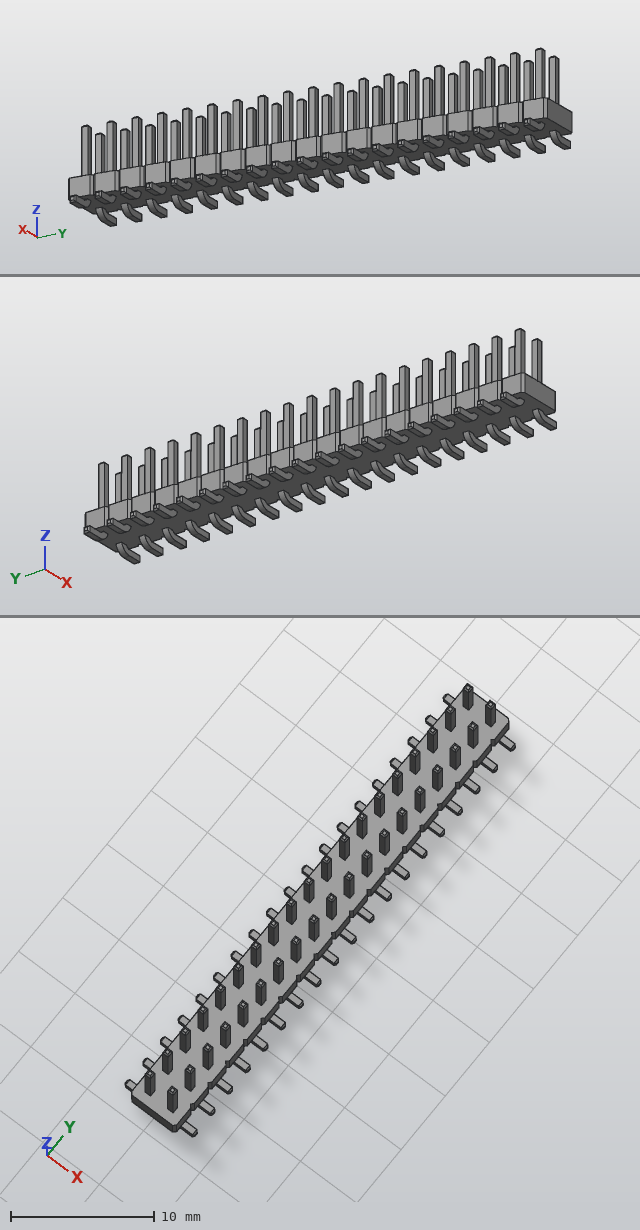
import cadquery as cq

pin_count = 19
pitch = 2.0

body_width = 4.0
body_height = 1.5
body_length = pin_count * pitch
standoff = 0.7
corner_chamfer = 0.2

pin_size = 0.5
pin_protrusion = 4.0
foot_span = 6.2
bend_radius = 0.5
bend_angle = 90
tip_chamfer = pin_size / 4
tip_size = pin_size - 2 * tip_chamfer

pin_top = standoff + body_height + pin_protrusion
pin_x = pitch / 2
foot_z = pin_size / 2
bend_centreline_radius = bend_radius + pin_size / 2
bend_top_z = foot_z + bend_centreline_radius
bend_end_x = pin_x + bend_centreline_radius


def make_body():
    """Extrude a row of cells, each with its four vertical corners chamfered."""
    half_width = body_width / 2
    shoulder = half_width - corner_chamfer
    right_side = []
    for i in range(pin_count):
        start = i * pitch - body_length / 2
        end = start + pitch
        right_side += [
            (shoulder, start),
            (half_width, start + corner_chamfer),
            (half_width, end - corner_chamfer),
        ]
    right_side.append((shoulder, body_length / 2))
    left_side = [(-x, y) for x, y in reversed(right_side)]
    return (
        cq.Workplane("XY", origin=(0, 0, standoff))
        .polyline(right_side + left_side)
        .close()
        .extrude(body_height)
    )


def make_tip(plane):
    """Chamfered pin end that starts on the given plane and follows its normal."""
    return (
        cq.Workplane(plane)
        .rect(pin_size, pin_size)
        .workplane(offset=tip_chamfer)
        .rect(tip_size, tip_size)
        .loft(ruled=True)
    )


def make_pin():
    """One pin of the +X row at Y = 0: straight post, quarter bend, outward foot."""
    post_top = pin_top - tip_chamfer
    foot_end = foot_span / 2 - tip_chamfer
    post = (
        cq.Workplane("XY", origin=(pin_x, 0, bend_top_z))
        .rect(pin_size, pin_size)
        .extrude(post_top - bend_top_z)
    )
    bend = (
        cq.Workplane("XY", origin=(pin_x, 0, bend_top_z))
        .rect(pin_size, pin_size)
        .revolve(bend_angle, (bend_centreline_radius, 0), (bend_centreline_radius, -1))
    )
    foot = (
        cq.Workplane("YZ", origin=(bend_end_x, 0, foot_z))
        .rect(pin_size, pin_size)
        .extrude(foot_end - bend_end_x)
    )
    top_tip = make_tip(cq.Plane.XY(origin=(pin_x, 0, post_top)))
    foot_tip = make_tip(cq.Plane.YZ(origin=(foot_end, 0, foot_z)))
    return post.union(bend).union(foot).union(top_tip).union(foot_tip)


right_pin = make_pin()
left_pin = right_pin.mirror("YZ")
pins = []
for i in range(pin_count):
    pin_y = (i - (pin_count - 1) / 2) * pitch
    for pin in (right_pin, left_pin):
        pins.append(pin.translate((0, pin_y, 0)).val())

result = cq.Workplane(make_body().val().fuse(*pins)).solids()